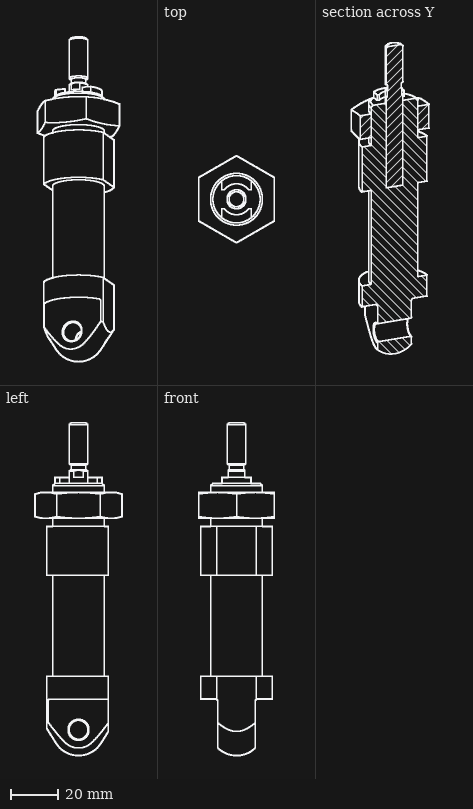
import cadquery as cq
import math

TOTAL_HEIGHT = 141.0
THREAD_BOTTOM = 123.1
GROOVE_BOTTOM = 121.1
EAR_TOP = 117.9
NECK_TOP = 115.3
NUT_TOP = 111.5
NUT_HEIGHT = 11.0
FRONT_CAP_TOP = 97.1
FRONT_CAP_BOTTOM = 76.4
REAR_CAP_TOP = 33.7
REAR_CAP_BOTTOM = 24.0
PIVOT_HEIGHT = 11.0

ROD_DIAMETER = 8.0
GROOVE_DIAMETER = 6.3
ROD_CHAMFER = (ROD_DIAMETER - GROOVE_DIAMETER) / 2
GROOVE_TAPER = 0.5
WRENCH_WIDTH = 7.0
WRENCH_LENGTH = 3.2

BARREL_DIAMETER = 22.0
NECK_CHAMFER = 1.0
EAR_DIAMETER = BARREL_DIAMETER - 2 * NECK_CHAMFER
EAR_WIDTH = 12.4
EAR_GAP = 8.0
EAR_POCKET_DIAMETER = 13.1
CAP_DIAMETER = 30.3
CAP_FRONT_FLAT = 12.7
CAP_BACK_FLAT = 13.5

LUG_WIDTH = 16.0
LUG_FILLET = 0.8
LUG_DOME_RADIUS = 11.3
LUG_CONE_ANGLE = 58.0
PIVOT_DIAMETER = 8.0
PIVOT_CHAMFER = 0.4

NUT_WIDTH = 32.0
NUT_FACE_DIAMETER = 31.6
NUT_CHAMFER_ANGLE = 15.0


def cylinder(diameter, bottom, top):
    """Upright cylinder on the Z axis between two heights."""
    return cq.Workplane("XY").workplane(offset=bottom).circle(diameter / 2).extrude(top - bottom)


def block(x_size, y_size, bottom, top):
    """Upright rectangular block centred on the Z axis."""
    return cq.Workplane("XY").workplane(offset=bottom).rect(x_size, y_size).extrude(top - bottom)


def make_rod():
    """Rod with a chamfered threaded end, a thread relief groove and two wrench flats."""
    rod = cylinder(ROD_DIAMETER, FRONT_CAP_BOTTOM, GROOVE_BOTTOM)
    rod = rod.faces(">Z").chamfer(GROOVE_TAPER, ROD_CHAMFER)
    flats_bottom = GROOVE_BOTTOM - WRENCH_LENGTH
    wrench_zone = cylinder(ROD_DIAMETER, flats_bottom, GROOVE_BOTTOM)
    wrench_core = block(WRENCH_WIDTH, ROD_DIAMETER, flats_bottom, GROOVE_BOTTOM)
    rod = rod.cut(wrench_zone.cut(wrench_core))
    groove = cylinder(GROOVE_DIAMETER, GROOVE_BOTTOM, THREAD_BOTTOM)
    thread = cylinder(ROD_DIAMETER, THREAD_BOTTOM, TOTAL_HEIGHT)
    thread = thread.faces(">Z").chamfer(ROD_CHAMFER)
    thread = thread.faces("<Z").chamfer(GROOVE_TAPER, ROD_CHAMFER)
    return rod.union(groove).union(thread)


def make_cap(bottom, top):
    """Round end cap with a wide flat facing -Y and a narrower one, further out, facing +Y."""
    cap_width = CAP_FRONT_FLAT + CAP_BACK_FLAT
    shift = (CAP_BACK_FLAT - CAP_FRONT_FLAT) / 2
    flats = block(CAP_DIAMETER, cap_width, bottom, top).translate((0, shift, 0))
    return cylinder(CAP_DIAMETER, bottom, top).intersect(flats)


def make_ears():
    """Two ears on the neck, facing each other across the rod."""
    ears = cylinder(EAR_DIAMETER, NECK_TOP, EAR_TOP)
    ears = ears.intersect(block(EAR_WIDTH, EAR_DIAMETER, NECK_TOP, EAR_TOP))
    ears = ears.cut(block(EAR_WIDTH, EAR_GAP, NECK_TOP, EAR_TOP))
    return ears.cut(cylinder(EAR_POCKET_DIAMETER, NECK_TOP, EAR_TOP))


def make_lug_envelope():
    """Solid of revolution: a spherical end running tangentially into a cone, then a cylinder."""
    angle = math.radians(LUG_CONE_ANGLE)
    tangent_radius = LUG_DOME_RADIUS * math.sin(angle)
    tangent_height = LUG_DOME_RADIUS * (1 - math.cos(angle))
    arc_middle_radius = LUG_DOME_RADIUS * math.sin(angle / 2)
    arc_middle_height = LUG_DOME_RADIUS * (1 - math.cos(angle / 2))
    outer_radius = CAP_DIAMETER / 2
    cone_top = tangent_height + (outer_radius - tangent_radius) * math.tan(angle)
    return (
        cq.Workplane("XZ")
        .moveTo(0, 0)
        .threePointArc((arc_middle_radius, arc_middle_height), (tangent_radius, tangent_height))
        .lineTo(outer_radius, cone_top)
        .lineTo(outer_radius, REAR_CAP_TOP)
        .lineTo(0, REAR_CAP_TOP)
        .close()
        .revolve(360, (0, 0, 0), (0, 1, 0))
    )


def make_rear_cap():
    """Rear cap with its rounded lug and the chamfered pivot hole along X."""
    lug = block(LUG_WIDTH, CAP_DIAMETER, 0, REAR_CAP_BOTTOM)
    body = block(CAP_DIAMETER, CAP_DIAMETER, REAR_CAP_BOTTOM, REAR_CAP_TOP).union(lug)
    for side in (-1, 1):
        root_point = (side * LUG_WIDTH / 2, 0, REAR_CAP_BOTTOM)
        body = body.edges(cq.selectors.NearestToPointSelector(root_point)).fillet(LUG_FILLET)
    body = body.intersect(make_cap(0, REAR_CAP_TOP))
    body = body.intersect(make_lug_envelope())
    pivot_radius = PIVOT_DIAMETER / 2
    mouth_radius = pivot_radius + PIVOT_CHAMFER
    lug_half = LUG_WIDTH / 2
    pivot_hole = (
        cq.Workplane("XY", origin=(0, 0, PIVOT_HEIGHT))
        .moveTo(-lug_half, 0)
        .lineTo(-lug_half, mouth_radius)
        .lineTo(-lug_half + PIVOT_CHAMFER, pivot_radius)
        .lineTo(lug_half - PIVOT_CHAMFER, pivot_radius)
        .lineTo(lug_half, mouth_radius)
        .lineTo(lug_half, 0)
        .close()
        .revolve(360, (0, 0, 0), (1, 0, 0))
    )
    return body.cut(pivot_hole)


def make_housing():
    """Barrel and neck with both caps, the ears and a blind bore for the rod."""
    barrel = cylinder(BARREL_DIAMETER, REAR_CAP_TOP, NECK_TOP)
    barrel = barrel.faces(">Z").chamfer(NECK_CHAMFER)
    housing = barrel.union(make_cap(FRONT_CAP_BOTTOM, FRONT_CAP_TOP))
    housing = housing.union(make_rear_cap()).union(make_ears())
    return housing.cut(cylinder(ROD_DIAMETER, FRONT_CAP_BOTTOM, NECK_TOP))


def make_nut():
    """Hexagon nut around the neck, corners pointing along Y and chamfered on both faces."""
    corner_diameter = NUT_WIDTH / math.cos(math.radians(30))
    chamfer_width = (corner_diameter - NUT_FACE_DIAMETER) / 2
    chamfer_depth = chamfer_width * math.tan(math.radians(NUT_CHAMFER_ANGLE))
    nut_bottom = NUT_TOP - NUT_HEIGHT
    hexagon = (
        cq.Workplane("XY")
        .workplane(offset=nut_bottom)
        .transformed(rotate=(0, 0, 90))
        .polygon(6, corner_diameter)
        .extrude(NUT_HEIGHT)
    )
    envelope = cylinder(corner_diameter, nut_bottom, NUT_TOP)
    envelope = envelope.faces("<Z or >Z").chamfer(chamfer_depth, chamfer_width)
    return hexagon.intersect(envelope).cut(cylinder(BARREL_DIAMETER, nut_bottom, NUT_TOP))


rod = make_rod()
housing = make_housing()
nut = make_nut()
result = cq.Compound.makeCompound([rod.val(), housing.val(), nut.val()])